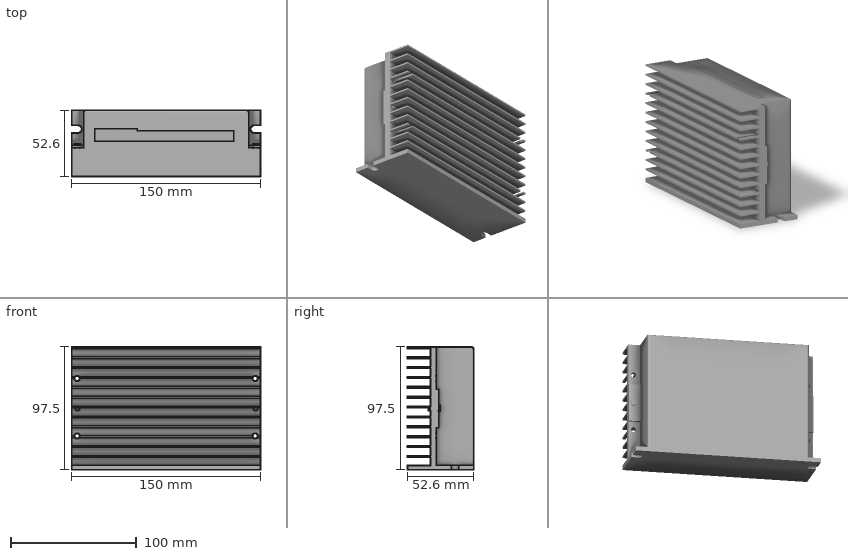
import cadquery as cq

LENGTH = 150.0
DEPTH = 52.6
HEIGHT = 97.5
BACK = DEPTH / 2
FRONT = -DEPTH / 2

BASE_THICKNESS = 3.5
FIN_DEPTH = 18.2
FIN_THICKNESS = 1.4
FIN_COUNT = 12
FIN_PITCH = (HEIGHT - BASE_THICKNESS) / FIN_COUNT
PLATE_THICKNESS = 4.6
PLATE_FRONT = FRONT + FIN_DEPTH
PLATE_BACK = PLATE_FRONT + PLATE_THICKNESS

PAD_HEIGHT = 30.5
PAD_RAISE = 2.0
PAD_BACK = PLATE_BACK + PAD_RAISE

COVER_LENGTH = 131.0
COVER_FILLET = 2.0

SLOT_WIDTH = 5.8
SLOT_DEPTH = 8.0
SLOT_Y = BACK - 15.0

HOLE_DIAMETER = 4.0
HOLE_X = 70.6
HOLE_HEIGHTS = (26.8, 72.5)

WINDOW_LEFT = -56.8
WINDOW_STEP = -23.1
WINDOW_RIGHT = 53.5
WINDOW_FRONT = BACK - 24.6
WINDOW_NARROW = 8.1
WINDOW_WIDE = 10.0
WINDOW_DEPTH = 0.5

SCREW_XS = (-70.4, 71.1)
SCREW_Z = HEIGHT / 2
HEAD_DIAMETER = 4.8
HEAD_HEIGHT = 1.4
HEAD_BACK = PAD_BACK + HEAD_HEIGHT
DRIVER_SLOT_WIDTH = 0.5
DRIVER_SLOT_DEPTH = 0.5
SHANK_DIAMETER = 3.6
SHANK_PROTRUSION = 1.5
SHANK_TIP = PLATE_FRONT - SHANK_PROTRUSION


def block(x_range, y_range, z_range):
    """Box spanning the given lower and upper limits along each axis."""
    (x0, x1), (y0, y1), (z0, z1) = x_range, y_range, z_range
    return cq.Workplane("XY").box(x1 - x0, y1 - y0, z1 - z0, centered=False).translate((x0, y0, z0))


def cylinder_along_y(x, z, y_start, y_end, diameter):
    """Round bar from y_start up to y_end."""
    axis_start = cq.Vector(x, y_start, z)
    bar = cq.Solid.makeCylinder(diameter / 2, y_end - y_start, axis_start, cq.Vector(0, 1, 0))
    return cq.Workplane(obj=bar)


def make_cover():
    """Enclosure block with its rear vertical and rear top edges rounded."""
    half = COVER_LENGTH / 2
    cover = block((-half, half), (PLATE_BACK, BACK), (BASE_THICKNESS, HEIGHT))
    return cover.faces(">Y").edges("|Z or >Z").fillet(COVER_FILLET)


def make_heat_sink():
    """Base, upright plate with its screw pad, and evenly stacked fins."""
    full_length = (-LENGTH / 2, LENGTH / 2)
    base = block(full_length, (FRONT, BACK), (0, BASE_THICKNESS))
    plate = block(full_length, (PLATE_FRONT, PLATE_BACK), (0, HEIGHT))
    pad_bottom = (HEIGHT - PAD_HEIGHT) / 2
    pad = block(full_length, (PLATE_BACK, PAD_BACK), (pad_bottom, pad_bottom + PAD_HEIGHT))
    heat_sink = base.union(plate).union(pad)
    for level in range(1, FIN_COUNT + 1):
        fin_top = BASE_THICKNESS + level * FIN_PITCH
        fin = block(full_length, (FRONT, PLATE_FRONT), (fin_top - FIN_THICKNESS, fin_top))
        heat_sink = heat_sink.union(fin)
    return heat_sink


def make_mounting_slots():
    """Cutters for the round-ended slots that open at the two ends of the base."""
    return (
        cq.Workplane("XY")
        .pushPoints([(-LENGTH / 2, SLOT_Y), (LENGTH / 2, SLOT_Y)])
        .slot2D(2 * SLOT_DEPTH, SLOT_WIDTH)
        .extrude(BASE_THICKNESS)
    )


def make_window():
    """Cutter for the shallow window, wider in its left part."""
    return (
        cq.Workplane("XY", origin=(0, 0, HEIGHT - WINDOW_DEPTH))
        .moveTo(WINDOW_LEFT, WINDOW_FRONT)
        .lineTo(WINDOW_RIGHT, WINDOW_FRONT)
        .lineTo(WINDOW_RIGHT, WINDOW_FRONT + WINDOW_NARROW)
        .lineTo(WINDOW_STEP, WINDOW_FRONT + WINDOW_NARROW)
        .lineTo(WINDOW_STEP, WINDOW_FRONT + WINDOW_WIDE)
        .lineTo(WINDOW_LEFT, WINDOW_FRONT + WINDOW_WIDE)
        .close()
        .extrude(WINDOW_DEPTH)
    )


def make_housing():
    """Heat sink and enclosure in one piece, with all openings cut."""
    housing = make_heat_sink().union(make_cover())
    housing = housing.cut(make_mounting_slots()).cut(make_window())
    for x in (-HOLE_X, HOLE_X):
        for z in HOLE_HEIGHTS:
            housing = housing.cut(cylinder_along_y(x, z, FRONT, PLATE_BACK, HOLE_DIAMETER))
    for x in SCREW_XS:
        housing = housing.cut(cylinder_along_y(x, SCREW_Z, SHANK_TIP, PAD_BACK, SHANK_DIAMETER))
    return housing


def make_screw(x):
    """Screw with its slotted head on the pad and its tip showing in front of the plate."""
    head = cylinder_along_y(x, SCREW_Z, PAD_BACK, HEAD_BACK, HEAD_DIAMETER)
    shank = cylinder_along_y(x, SCREW_Z, SHANK_TIP, PAD_BACK, SHANK_DIAMETER)
    driver_slot = block(
        (x - DRIVER_SLOT_WIDTH / 2, x + DRIVER_SLOT_WIDTH / 2),
        (HEAD_BACK - DRIVER_SLOT_DEPTH, HEAD_BACK),
        (SCREW_Z - HEAD_DIAMETER / 2, SCREW_Z + HEAD_DIAMETER / 2),
    )
    return head.union(shank).cut(driver_slot)


housing = make_housing()
screws = [make_screw(x) for x in SCREW_XS]

result = cq.Compound.makeCompound([housing.val(), *[screw.val() for screw in screws]])